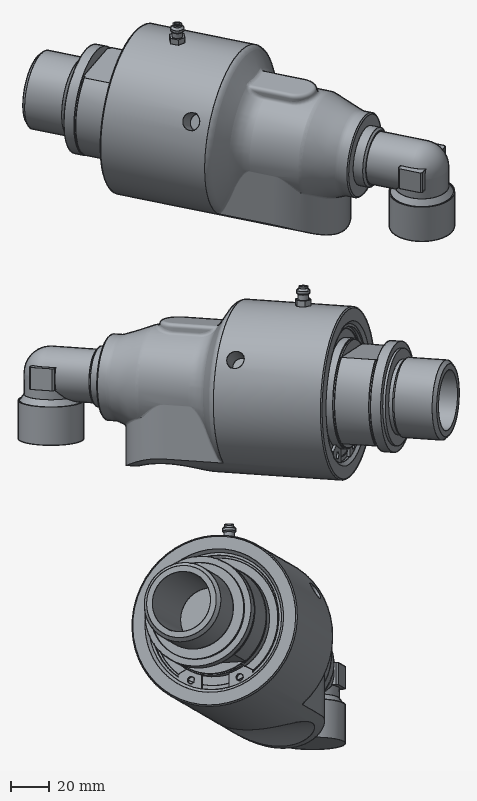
import cadquery as cq
import math


overall_length = 233.5
overall_height = 100.5

overlap = 1.2
far = 140.1

thread_d = 41.8
thread_end = 23.8
thread_chamfer = 1.9
neck_d = 39.5
bore_d = 31.8
bore_depth = 46.7
step_d = 51.0
step_start = 26.0
collar_d = 58.0
collar_start = 27.3
flats_start = 33.0
flats_end = 52.5
flats_width = 45.8
groove_d = 56.5
groove_width = 1.0

body_d = 90.5
body_start = 54.2
body_end = 113.3
body_chamfer = 0.7
shoulder_x = 116.3
shoulder_r = 43.0
cone_end_x = 122.4
cone_end_r = 34.0
waist_r = 29.2
waist_start = 132.0
waist_end = 159.3
taper_start_x = 161.1
taper_start_r = 28.7
taper_end_x = 177.3
taper_end_r = 23.0
end_flange_d = 45.0
end_flange_start = 179.4
end_flange_end = 184.5
end_flange_chamfer = 0.7

seat_d = 72.0
seat_chamfer = 1.9
ring_front = 55.8
ring_back = 57.5
ring_inner_d = 69.5
race_d = 67.3
race_depth = 0.5
ring_embed = 0.5
ring_gap = 15.0
lug_inner_y = 15.5
lug_inner_z = -24.3
lug_outer_y = 20.3
lug_outer_z = -26.9
lug_hole_d = 3.7
lug_hole_y = 13.3
lug_hole_z = -30.4

radial_hole_d = 9.3
radial_hole_x = 103.2
radial_hole_depth = 11.7
radial_hole_angles = (60, -60)

pad_start = 119.0
pad_center_x = 146.7
pad_r = 10.0
pad_top = 32.7
pad_rim = 2.0
pad_root = 2.0
pad_seam_start = 121.5
pad_seam_bottom = 26.5
pad_root_low = (pad_seam_start, -pad_r - overlap, pad_seam_bottom)
pad_root_high = (pad_center_x + pad_r + overlap, pad_r + overlap, waist_r)

foot_center_x = 145.7
foot_r = 28.5
foot_root = 1.5
foot_seam_bottom = -34.8
foot_seam_top = -4.7
foot_root_low = (body_end, -waist_r, foot_seam_bottom)
foot_root_high = (foot_center_x + foot_r + overlap, waist_r, foot_seam_top)
saddle_x = 144.8
saddle_r = 45.5
saddle_rise = 6.5

sleeve_d = 31.8
sleeve_end = 191.0
sleeve_chamfer = 1.2
pipe_d = 28.0
socket_d = 34.0
elbow_x = overall_length - socket_d / 2
socket_top = -14.5
socket_bottom = -34.8
socket_taper_height = 3.3
socket_taper_d = 32.7
wrench_length = 13.5
wrench_height = 11.7
wrench_width = 32.2
wrench_bevel = 1.0

nipple_x = 79.0
nipple_top = overall_height - body_d / 2
hex_across_flats = 7.5
hex_height = 3.0
nipple_neck_r = 2.8
nipple_tip_r = 2.3
bead_r = 3.5
bead_top = nipple_top - 2.0
bead_bottom = nipple_top - 3.5
bead_flare = 0.7
bead_taper = 1.2
nipple_hole_d = 3.0
nipple_hole_depth = 1.0


def cylinder_x(d, start, end):
    return cq.Workplane("YZ", origin=(start, 0, 0)).circle(d / 2).extrude(end - start)


def cylinder_z(d, x, bottom, top):
    return cq.Workplane("XY", origin=(x, 0, bottom)).circle(d / 2).extrude(top - bottom)


def make_shaft():
    shaft = cylinder_x(thread_d, 0, thread_end).faces("<X").chamfer(thread_chamfer)
    shaft = shaft.faces(">X").chamfer((thread_d - neck_d) / 2)
    shaft = shaft.union(cylinder_x(neck_d, thread_end - thread_chamfer, step_start))
    shaft = shaft.union(cylinder_x(step_d, step_start, collar_start))
    shaft = shaft.union(cylinder_x(collar_d, collar_start, ring_back + 2 * race_depth))
    for start in (flats_start, flats_end):
        groove = cylinder_x(far, start, start + groove_width)
        shaft = shaft.cut(groove.cut(cylinder_x(groove_d, start, start + groove_width)))
    for side in (1, -1):
        flat = cq.Workplane("XY").box(flats_end - flats_start, far, far)
        flat = flat.translate(((flats_start + flats_end) / 2, 0, side * (flats_width + far) / 2))
        shaft = shaft.cut(flat)
    return shaft.cut(cylinder_x(bore_d, 0, bore_depth))


def make_housing():
    body_r = body_d / 2
    flange_r = end_flange_d / 2
    profile = (
        cq.Workplane("XZ")
        .moveTo(body_start, 0)
        .lineTo(end_flange_end, 0)
        .lineTo(end_flange_end, flange_r - end_flange_chamfer)
        .lineTo(end_flange_end - end_flange_chamfer, flange_r)
        .lineTo(end_flange_start, flange_r)
        .tangentArcPoint((taper_end_x, taper_end_r), relative=False)
        .lineTo(taper_start_x, taper_start_r)
        .tangentArcPoint((waist_end, waist_r), relative=False)
        .lineTo(waist_start, waist_r)
        .tangentArcPoint((cone_end_x, cone_end_r), relative=False)
        .lineTo(shoulder_x, shoulder_r)
        .tangentArcPoint((body_end, body_r), relative=False)
        .lineTo(body_start + body_chamfer, body_r)
        .lineTo(body_start, body_r - body_chamfer)
        .close()
    )
    return profile.revolve(360, (0, 0, 0), (1, 0, 0))


def make_foot():
    """Rounded plate whose underside follows the housing cylinder and is relieved by a saddle."""
    start = body_end - overlap
    foot = (
        cq.Workplane("XY")
        .moveTo(start, -foot_r)
        .lineTo(foot_center_x, -foot_r)
        .threePointArc((foot_center_x + foot_r, 0), (foot_center_x, foot_r))
        .lineTo(start, foot_r)
        .close()
        .extrude(-body_d / 2)
    )
    return foot.intersect(cylinder_x(body_d, start, far + body_end))


def make_saddle():
    center_z = -body_d / 2 + saddle_rise - saddle_r
    return cq.Workplane("XZ", origin=(saddle_x, far, center_z)).circle(saddle_r).extrude(2 * far)


def make_pad():
    pad = (
        cq.Workplane("XY")
        .moveTo(pad_start, -pad_r)
        .lineTo(pad_center_x, -pad_r)
        .threePointArc((pad_center_x + pad_r, 0), (pad_center_x, pad_r))
        .lineTo(pad_start, pad_r)
        .close()
        .extrude(pad_top)
    )
    return pad.faces(">Z").edges().fillet(pad_rim)


def fillet_root(body, low_corner, high_corner, radius):
    """Round the seam inside a box where an added shape meets the housing, leaving its upright edges."""
    seam = cq.selectors.BoxSelector(low_corner, high_corner) - cq.selectors.StringSyntaxSelector("|Z")
    return body.edges(seam).fillet(radius)


def cut_ring_seat(housing):
    seat = cylinder_x(seat_d, body_start, ring_back)
    mouth = cq.Workplane("YZ", origin=(body_start, 0, 0)).circle(seat_d / 2 + seat_chamfer)
    mouth = mouth.workplane(offset=seat_chamfer).circle(seat_d / 2).loft()
    race = cylinder_x(race_d, ring_back, ring_back + race_depth)
    return housing.cut(seat).cut(mouth).cut(race)


def make_retaining_ring():
    """Open ring held in a shallow groove of the seat, with a drilled lug on each side of its gap."""
    thickness = ring_back - ring_front
    plane = cq.Workplane("YZ", origin=(ring_front, 0, 0))
    outer_r = seat_d / 2 + ring_embed
    ring = plane.circle(outer_r).circle(ring_inner_d / 2).extrude(thickness)
    limit = plane.circle(outer_r).circle(collar_d / 2).extrude(thickness)
    for side in (1, -1):
        lug = plane.polyline([
            (side * ring_gap / 2, lug_inner_z),
            (side * lug_inner_y, lug_inner_z),
            (side * lug_outer_y, lug_outer_z),
            (side * lug_outer_y, -far),
            (side * ring_gap / 2, -far),
        ]).close().extrude(thickness)
        ring = ring.union(lug.intersect(limit))
    holes = plane.pushPoints([(-lug_hole_y, lug_hole_z), (lug_hole_y, lug_hole_z)])
    ring = ring.cut(holes.circle(lug_hole_d / 2).extrude(thickness))
    return ring.cut(plane.center(0, -far / 2).rect(ring_gap, far).extrude(thickness))


def make_radial_hole(angle):
    hole = cylinder_z(radial_hole_d, radial_hole_x, body_d / 2 - radial_hole_depth, far)
    return hole.rotate((0, 0, 0), (1, 0, 0), angle)


def make_elbow():
    sleeve = cylinder_x(sleeve_d, end_flange_end - overlap, sleeve_end).faces(">X").chamfer(sleeve_chamfer)
    elbow = sleeve.union(cylinder_x(pipe_d, end_flange_end - overlap, elbow_x))
    elbow = elbow.union(cylinder_z(pipe_d, elbow_x, socket_top, 0))
    elbow = elbow.union(cq.Workplane("XY", origin=(elbow_x, 0, 0)).sphere(pipe_d / 2))
    elbow = elbow.union(cylinder_z(socket_d, elbow_x, socket_bottom, socket_top))
    taper = cq.Workplane("XY", origin=(elbow_x, 0, socket_top)).circle(socket_taper_d / 2)
    elbow = elbow.union(taper.workplane(offset=socket_taper_height).circle(pipe_d / 2).loft())
    wrench_flats = cq.Workplane("XY").box(wrench_length, wrench_width, wrench_height)
    wrench_flats = wrench_flats.edges("|Z").chamfer(wrench_bevel).translate((elbow_x, 0, 0))
    return elbow.union(wrench_flats)


def make_nipple():
    base = body_d / 2 - overlap
    hex_top = body_d / 2 + hex_height
    hexagon = (
        cq.Workplane("XY", origin=(nipple_x, 0, base))
        .polygon(6, hex_across_flats / math.cos(math.pi / 6))
        .extrude(hex_top - base)
    )
    profile = (
        cq.Workplane("XZ", origin=(nipple_x, 0, 0))
        .moveTo(0, base)
        .lineTo(nipple_neck_r, base)
        .lineTo(nipple_neck_r, bead_bottom - bead_flare)
        .lineTo(bead_r, bead_bottom)
        .lineTo(bead_r, bead_top)
        .lineTo(nipple_tip_r, bead_top + bead_taper)
        .lineTo(nipple_tip_r, nipple_top)
        .lineTo(0, nipple_top)
        .close()
    )
    nipple = hexagon.union(profile.revolve(360, (0, 0, 0), (0, 1, 0)))
    return nipple.cut(cylinder_z(nipple_hole_d, nipple_x, nipple_top - nipple_hole_depth, nipple_top))


housing = make_housing().union(make_foot())
housing = fillet_root(housing, foot_root_low, foot_root_high, foot_root)
housing = housing.cut(make_saddle()).union(make_pad())
housing = fillet_root(housing, pad_root_low, pad_root_high, pad_root)
housing = cut_ring_seat(housing)
for hole_angle in radial_hole_angles:
    housing = housing.cut(make_radial_hole(hole_angle))

result = housing.union(make_retaining_ring()).union(make_shaft()).union(make_elbow()).union(make_nipple())